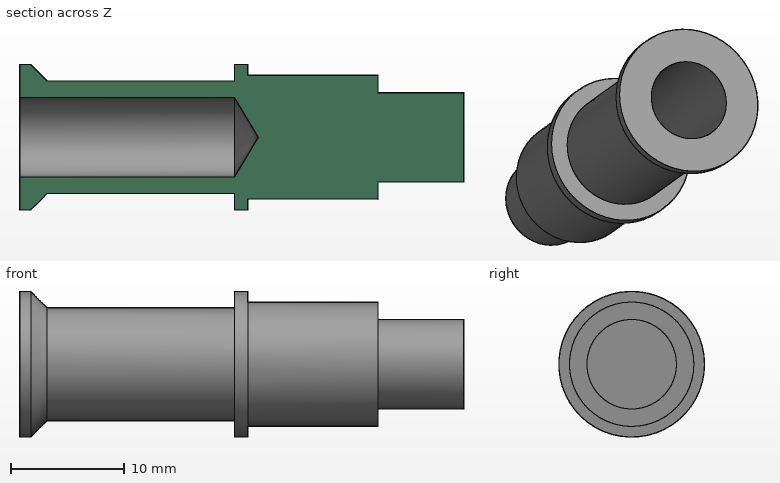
import cadquery as cq
import math

total_length = 39.3
x_start = -total_length / 2
x_end = total_length / 2

flange_diameter = 12.9
stem_diameter = 10.0
collar_diameter = 12.9
body_diameter = 11.0
spigot_diameter = 7.92
bore_diameter = 7.0

flange_rim_length = 1.0
flange_flare_angle = 45.0
collar_offset = 19.0
collar_length = 1.2
body_length = 11.5

bore_depth = 19.0
drill_point_angle = 118.0

flange_flare_length = (flange_diameter - stem_diameter) / 2 / math.tan(math.radians(flange_flare_angle))
x_rim_end = x_start + flange_rim_length
x_flare_end = x_rim_end + flange_flare_length
x_collar = x_start + collar_offset
x_body = x_collar + collar_length
x_spigot = x_body + body_length


def revolve_about_x(points):
    """Turn a closed (x, radius) outline about the X axis."""
    return cq.Workplane("XY").polyline(points).close().revolve(360, (0, 0, 0), (1, 0, 0))


def turned_body():
    """Flared flange, stem, collar, body and spigot as one solid."""
    return revolve_about_x([
        (x_start, 0),
        (x_start, flange_diameter / 2),
        (x_rim_end, flange_diameter / 2),
        (x_flare_end, stem_diameter / 2),
        (x_collar, stem_diameter / 2),
        (x_collar, collar_diameter / 2),
        (x_body, collar_diameter / 2),
        (x_body, body_diameter / 2),
        (x_spigot, body_diameter / 2),
        (x_spigot, spigot_diameter / 2),
        (x_end, spigot_diameter / 2),
        (x_end, 0),
    ])


def blind_bore():
    """Drilled hole entering from the flange face."""
    bore_radius = bore_diameter / 2
    point_length = bore_radius / math.tan(math.radians(drill_point_angle / 2))
    x_bore_end = x_start + bore_depth
    return revolve_about_x([
        (x_start, 0),
        (x_start, bore_radius),
        (x_bore_end, bore_radius),
        (x_bore_end + point_length, 0),
    ])


result = turned_body().cut(blind_bore())